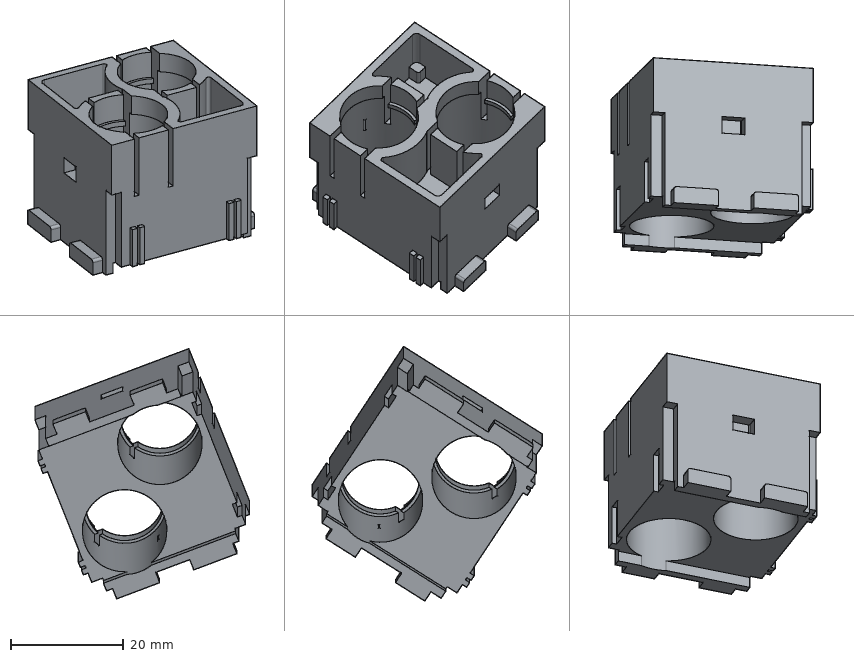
import cadquery as cq
import math

body_x = 29.4
body_y = 30.0
length_over_feet = 34.0
height = 27.0
wall = 1.53

embed = 0.35

skirt_height = 2.0

rim_height = 10.0
relief_x = 2.07
relief_y = 1.97

bore_x = -5.8
bore_y = 6.32
bore_mouth_radius = 7.0
bore_radius = 7.5
bore_mouth_depth = 3.67

finger_half_width = 3.03
slot_width = 0.95
slot_depth = 11.5
finger_reach = body_x / 2 + bore_x
slot_outer_y = finger_half_width + slot_width

ridge_radius = 6.95
ridge_depth = 5.03
ridge_height = 1.0

pocket_depth = slot_depth
pocket_bore_radius = 9.18
pocket_corner_radius = 1.0
pocket_tip_radius = 0.48
pad_depth = 8.4
pad_length_y = 2.2
side_pad_length_x = 1.9
inner_pad_edge_x = 3.65
pad_corner_radius = 0.48

window_width = 4.15
window_height = 3.05
window_top_depth = 10.0
window_depth = 2.28

foot_pitch = 14.72
foot_reach = (length_over_feet - body_y) / 2
foot_height = 3.0
front_foot_width = 8.23
back_foot_width = 6.22
foot_radius = 0.5

rib_pitch = 19.92
rib_top = 9.45
rib_reach = 0.9
rib_width = 1.02
rib_gap = 0.48
groove_width = 2 * rib_width + rib_gap
groove_depth = rib_reach


def block(x_range, y_range, z_range):
    """Box spanning the given (low, high) ranges."""
    ranges = (x_range, y_range, z_range)
    sizes = [high - low for low, high in ranges]
    lows = [low for low, high in ranges]
    return cq.Workplane("XY").box(*sizes, centered=False).translate(tuple(lows))


def half_turn(shape):
    return shape.rotate((0, 0, 0), (0, 0, 1), 180)


def bore_cylinder(radius, bottom, top):
    """Cylinder on the axis of the first bore."""
    return cq.Workplane("XY", origin=(bore_x, bore_y, bottom)).circle(radius).extrude(top - bottom)


def finger_band(half_width, bottom, top):
    """Strip across the first bore, as long as the two fingers."""
    return block(
        (bore_x - finger_reach, bore_x + finger_reach),
        (bore_y - half_width, bore_y + half_width),
        (bottom, top),
    )


def bore_cut():
    """Stepped bore with slots; the finger faces keep the larger radius up to the top."""
    step_z = height - bore_mouth_depth
    slot_bottom = height - slot_depth
    narrow_mouth = bore_cylinder(bore_radius, step_z, height).cut(
        bore_cylinder(bore_mouth_radius, step_z, height)
    )
    narrow_mouth = narrow_mouth.cut(finger_band(slot_outer_y, step_z, height))
    slots = finger_band(slot_outer_y, slot_bottom, height).cut(
        finger_band(finger_half_width, slot_bottom, height)
    )
    return bore_cylinder(bore_radius, 0, height).cut(narrow_mouth).union(slots)


def snap_ridges():
    top = height - ridge_depth
    bottom = top - ridge_height
    ring = bore_cylinder(bore_radius + embed, bottom, top).cut(
        bore_cylinder(ridge_radius, bottom, top)
    )
    return ring.intersect(finger_band(finger_half_width, bottom, top))


def pocket_cut():
    """Pocket in the -X, -Y quarter, curved around the first and second bores."""
    left = -body_x / 2 + wall
    front = -body_y / 2 + wall
    finger_face_x = -bore_x - finger_reach
    band_top = -bore_y + slot_outer_y
    band_bottom = -bore_y - slot_outer_y
    radius = pocket_bore_radius

    def below_first_bore(x):
        return bore_y - math.sqrt(radius**2 - (x - bore_x) ** 2)

    def left_of_second_bore(y):
        return -bore_x - math.sqrt(radius**2 - (y + bore_y) ** 2)

    upper_tip = (left, below_first_bore(left))
    upper_arc_end = (finger_face_x, below_first_bore(finger_face_x))
    inner_tip = (left_of_second_bore(front), front)
    mid_y = (band_bottom + front) / 2
    floor_z = height - pocket_depth

    pocket = (
        cq.Workplane("XY", origin=(0, 0, floor_z))
        .moveTo(left, front)
        .lineTo(*upper_tip)
        .threePointArc((bore_x, bore_y - radius), upper_arc_end)
        .lineTo(finger_face_x, band_top)
        .lineTo(finger_face_x, band_bottom)
        .lineTo(left_of_second_bore(band_bottom), band_bottom)
        .threePointArc((left_of_second_bore(mid_y), mid_y), inner_tip)
        .close()
        .extrude(pocket_depth)
    )
    rounded_corners = (
        ((left, front), pocket_corner_radius),
        (upper_tip, pocket_tip_radius),
        (inner_tip, pocket_tip_radius),
    )
    mid_z = height - pocket_depth / 2
    for (x, y), corner_radius in rounded_corners:
        nearest = cq.selectors.NearestToPointSelector((x, y, mid_z))
        pocket = pocket.edges("|Z").edges(nearest).fillet(corner_radius)

    pad_z = (floor_z, height - pad_depth)
    pad_y = (front, front + pad_length_y)
    side_pad = block((left, left + side_pad_length_x), pad_y, pad_z)
    inner_pad = block((-inner_pad_edge_x, -bore_x), pad_y, pad_z)
    pocket = pocket.cut(side_pad.edges("|Z and >X and >Y").fillet(pad_corner_radius))
    return pocket.cut(inner_pad.edges("|Z and <X and >Y").fillet(pad_corner_radius))


def foot(center_x, width):
    """Foot on the +Y end wall, rounded along its two upper side edges."""
    shape = block(
        (center_x - width / 2, center_x + width / 2),
        (body_y / 2 - embed, body_y / 2 + foot_reach),
        (0, foot_height),
    )
    return shape.edges("|Y and >Z").fillet(foot_radius)


result = block((-body_x / 2, body_x / 2), (-body_y / 2, body_y / 2), (0, height))
result = result.cut(
    block((-body_x / 2, body_x / 2), (wall - body_y / 2, body_y / 2 - wall), (0, skirt_height))
)
result = result.cut(
    cq.Workplane("XY")
    .rect(body_x, body_y, forConstruction=True)
    .vertices()
    .rect(2 * relief_x, 2 * relief_y)
    .extrude(height - rim_height)
)

for cutter in (bore_cut(), pocket_cut()):
    result = result.cut(cutter).cut(half_turn(cutter))
ridges = snap_ridges()
result = result.union(ridges).union(half_turn(ridges))

window_top = height - window_top_depth
front_window = block(
    (-window_width / 2, window_width / 2),
    (-body_y / 2, -body_y / 2 + window_depth),
    (window_top - window_height, window_top),
)
result = result.cut(front_window).cut(half_turn(front_window))

for foot_x in (-foot_pitch / 2, foot_pitch / 2):
    result = result.union(foot(foot_x, back_foot_width))
    result = result.union(half_turn(foot(foot_x, front_foot_width)))

for pair_y in (-rib_pitch / 2, rib_pitch / 2):
    result = result.cut(
        block(
            (-body_x / 2, -body_x / 2 + groove_depth),
            (pair_y - groove_width / 2, pair_y + groove_width / 2),
            (skirt_height, rib_top),
        )
    )
    for side in (-1, 1):
        rib_y = pair_y + side * (rib_gap + rib_width) / 2
        result = result.union(
            block(
                (body_x / 2 - embed, body_x / 2 + rib_reach),
                (rib_y - rib_width / 2, rib_y + rib_width / 2),
                (skirt_height, rib_top),
            )
        )